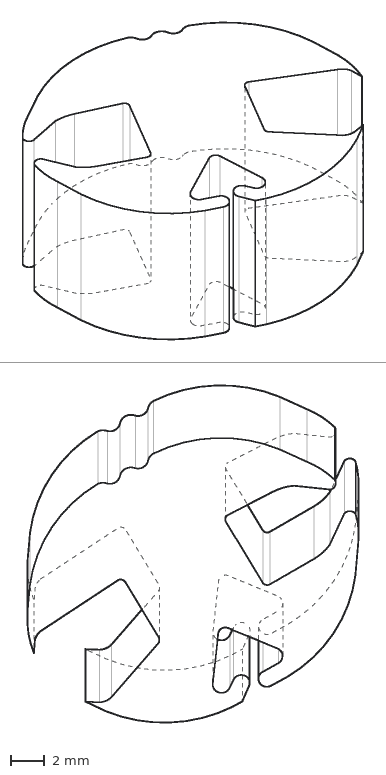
import cadquery as cq
import math

width = 16.0
length = 20.8
height = 10.0
side_x = width / 2
end_y = length / 2

side_arc_y = 1.9
side_arc_mid_x, side_arc_mid_y = 7.05, 5.5
shoulder_x, shoulder_y = 4.51, 8.5
horn_x, horn_y = 3.04, 9.53
upper_left_horn_mid = (-1.93, 10.09)
lower_horn_mid = (2.18, -10.05)

slot_floor_y = 3.52
slot_corner_radius = 0.31
lower_floor_half_width = 2.5
lower_bend_start = (2.41, -6.86)
lower_bend_mid = (2.33, -7.5)
lower_bend_end = (2.12, -8.11)
lower_tip_radius = 0.4
lower_tip_x = 1.23
lower_tip_inner = (0.87, -9.82)

upper_left_corner_x = -2.23
upper_left_bend = [(-1.75, 9.15), (-1.66, 9.59), (-1.44, 9.92)]
upper_left_tip_x = -0.73
upper_right_corner_x = 2.3
upper_right_bend = [(3.9, 7.78), (3.95, 8.17), (3.83, 8.57)]
upper_right_tip = (3.4, 9.25)

lip_width = 1.0
lip_radius = lip_width / 2
lower_lip_center_y = -0.75
upper_lip_center = (6.97, 0.69)
upper_lip_corner_y = 1.2
lip_slope = math.radians(-38)
pocket_radius = 0.52
pocket_round_x = 6.47
upper_pocket_round_y = 1.75
lower_pocket_round_y = -1.8
pocket_wall_angle = math.radians(126)
pocket_apex_x = 3.45
pocket_apex_start = (3.62, 0.33)

groove_y = 0.95
groove_depth = 0.44
groove_half_width = 0.44
groove_edge_depth = 0.25
groove_lip_bulge = 0.06


def on_circle(center, radius, angle):
    """Point on a circle at an angle measured from +X."""
    return (center[0] + radius * math.cos(angle), center[1] + radius * math.sin(angle))


def mirror_x(point):
    return (-point[0], point[1])


def mirror_y(point):
    return (point[0], -point[1])


def add_upper_slot(outline):
    """From the left horn tip, around the tapered slot, to the right horn tip."""
    outline = outline.lineTo(*upper_left_bend[2])
    outline = outline.threePointArc(upper_left_bend[1], upper_left_bend[0])
    outline = outline.lineTo(upper_left_corner_x, slot_floor_y)
    outline = outline.lineTo(upper_right_corner_x, slot_floor_y)
    outline = outline.lineTo(*upper_right_bend[0])
    outline = outline.threePointArc(upper_right_bend[1], upper_right_bend[2])
    return outline.lineTo(*upper_right_tip)


def add_locking_pocket(outline):
    """Down the +X side: slanted upper lip, triangular pocket, upright lower lip."""
    round_center = (pocket_round_x, upper_pocket_round_y)
    lower_center = (pocket_round_x, lower_pocket_round_y)
    lower_lip_center = (side_x - lip_radius, lower_lip_center_y)

    outline = outline.lineTo(side_x, upper_lip_corner_y)
    outline = outline.lineTo(*on_circle(upper_lip_center, lip_radius, lip_slope))
    outline = outline.threePointArc(
        on_circle(upper_lip_center, lip_radius, lip_slope - math.pi / 2),
        on_circle(upper_lip_center, lip_radius, lip_slope - math.pi),
    )
    outline = outline.lineTo(*on_circle(round_center, pocket_radius, lip_slope))
    outline = outline.threePointArc(
        on_circle(round_center, pocket_radius, (lip_slope + pocket_wall_angle) / 2),
        on_circle(round_center, pocket_radius, pocket_wall_angle),
    )
    outline = outline.lineTo(*pocket_apex_start)
    outline = outline.threePointArc((pocket_apex_x, 0), mirror_y(pocket_apex_start))
    outline = outline.lineTo(*on_circle(lower_center, pocket_radius, -pocket_wall_angle))
    outline = outline.threePointArc(
        on_circle(lower_center, pocket_radius, -pocket_wall_angle / 2),
        on_circle(lower_center, pocket_radius, 0),
    )
    outline = outline.lineTo(side_x - lip_width, lower_lip_center_y)
    return outline.threePointArc(
        on_circle(lower_lip_center, lip_radius, math.pi / 2),
        (side_x, lower_lip_center_y),
    )


def add_lower_slot(outline):
    """From the right tip, around the lower slot, to the left tip."""
    tip_center = (lower_tip_x, lower_tip_radius - end_y)
    tip_mid = on_circle(tip_center, lower_tip_radius, math.radians(-150))

    outline = outline.threePointArc(tip_mid, lower_tip_inner)
    outline = outline.lineTo(*lower_bend_end)
    outline = outline.threePointArc(lower_bend_mid, lower_bend_start)
    outline = outline.lineTo(lower_floor_half_width, -slot_floor_y)
    outline = outline.lineTo(-lower_floor_half_width, -slot_floor_y)
    outline = outline.lineTo(*mirror_x(lower_bend_start))
    outline = outline.threePointArc(mirror_x(lower_bend_mid), mirror_x(lower_bend_end))
    outline = outline.lineTo(*mirror_x(lower_tip_inner))
    return outline.threePointArc(mirror_x(tip_mid), (-lower_tip_x, -end_y))


def add_grooves(outline):
    """Up the -X side: two round grooves between rounded lips."""
    edge_x = groove_edge_depth - side_x
    bulge_x = groove_lip_bulge - side_x
    groove_bottom_x = groove_depth - side_x
    inner_edge_y = groove_y - groove_half_width
    outer_edge_y = groove_y + groove_half_width
    lip_y = (side_arc_y + groove_y + groove_half_width) / 2

    outline = outline.threePointArc((bulge_x, -lip_y), (edge_x, -outer_edge_y))
    outline = outline.threePointArc((groove_bottom_x, -groove_y), (edge_x, -inner_edge_y))
    outline = outline.threePointArc((-side_x, 0), (edge_x, inner_edge_y))
    outline = outline.threePointArc((groove_bottom_x, groove_y), (edge_x, outer_edge_y))
    return outline.threePointArc((bulge_x, lip_y), (-side_x, side_arc_y))


def add_left_horn(outline):
    """From the grooves up the -X side to the sharp upper-left tip."""
    outline = outline.threePointArc((-side_arc_mid_x, side_arc_mid_y), (-shoulder_x, shoulder_y))
    outline = outline.lineTo(-horn_x, horn_y)
    return outline.threePointArc(upper_left_horn_mid, (upper_left_tip_x, end_y))


def build_outline():
    outline = cq.Workplane("XY").moveTo(-side_x, side_arc_y)
    outline = add_left_horn(outline)
    outline = add_upper_slot(outline)
    outline = outline.lineTo(shoulder_x, shoulder_y)
    outline = outline.threePointArc((side_arc_mid_x, side_arc_mid_y), (side_x, side_arc_y))
    outline = add_locking_pocket(outline)
    outline = outline.lineTo(side_x, -side_arc_y)
    outline = outline.threePointArc((side_arc_mid_x, -side_arc_mid_y), (shoulder_x, -shoulder_y))
    outline = outline.lineTo(horn_x, -horn_y)
    outline = outline.threePointArc(lower_horn_mid, (lower_tip_x, -end_y))
    outline = add_lower_slot(outline)
    outline = outline.threePointArc(mirror_x(lower_horn_mid), (-horn_x, -horn_y))
    outline = outline.lineTo(-shoulder_x, -shoulder_y)
    outline = outline.threePointArc((-side_arc_mid_x, -side_arc_mid_y), (-side_x, -side_arc_y))
    return add_grooves(outline).close()


profile = build_outline().extrude(height)

slot_corners = [
    (upper_left_corner_x, slot_floor_y),
    (upper_right_corner_x, slot_floor_y),
    (-lower_floor_half_width, -slot_floor_y),
    (lower_floor_half_width, -slot_floor_y),
]
for corner in slot_corners:
    corner_edge = cq.selectors.NearestToPointSelector((*corner, height / 2))
    profile = profile.edges("|Z").edges(corner_edge).fillet(slot_corner_radius)

result = profile